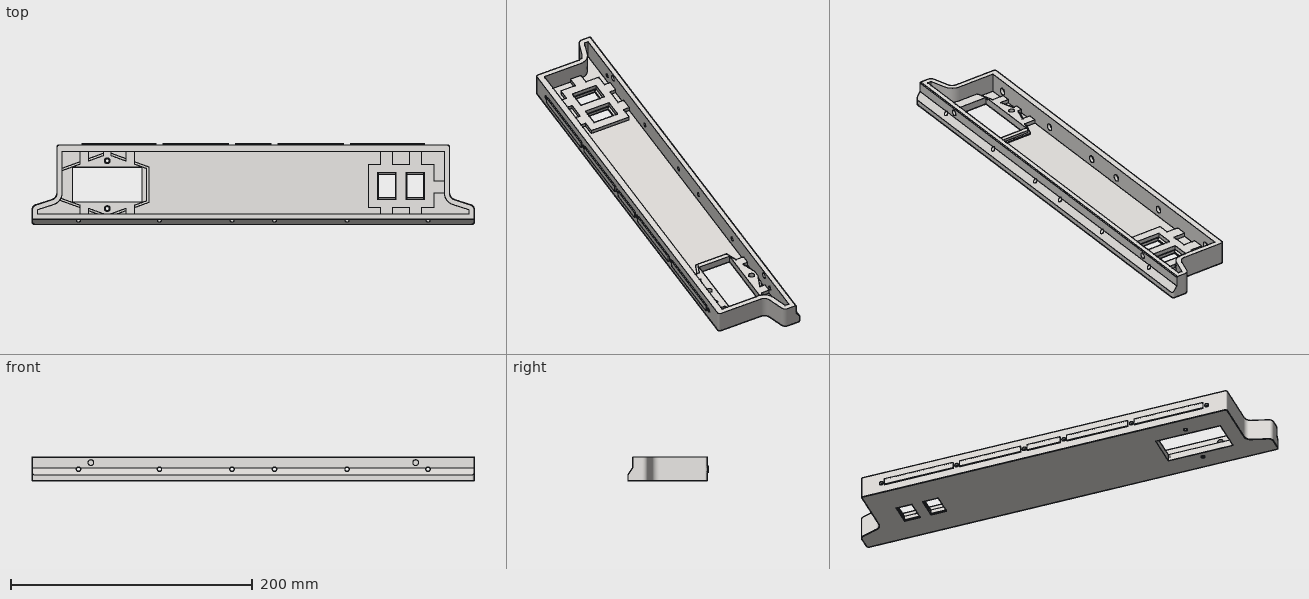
import cadquery as cq
import math


LENGTH = 366.2
HEIGHT = 20.0
DEPTH = 66.0

BASE_THICKNESS = 0.5
BASE_INSET = 0.5
FLOOR_TOP = 3.3

BODY_LENGTH = 325.2
FLARE_INNER_Y = 22.0
FLARE_OUTER_Y = 15.5
FLARE_INNER_RADIUS = 6.0
FLARE_OUTER_RADIUS = 4.5
BACK_CORNER_RADIUS = 2.0
FRONT_CORNER_RADIUS = 2.2

SIDE_WALL = 4.5
FRONT_WALL = 4.8
BACK_WALL = 5.5

SET_BACK = 4.0
BEVEL_BOTTOM = 5.0
BEVEL_ANGLE = 56.0
TOP_CHAMFER = 0.7

ROW_Z = 10.0
ROW_X = (17.5, 77.5, 144.5)
ROW_HOLE_DIAMETER = 3.4
BACK_COUNTERBORE_DIAMETER = 6.0
BACK_COUNTERBORE_DEPTH = 3.0

UPPER_HOLE_X = 134.5
UPPER_HOLE_Z = 15.5
UPPER_HOLE_DIAMETER = 4.8

PAD_GAP = 6.0
PAD_THICKNESS = 1.0
PAD_HEIGHT = 5.5

SOCKET_X = -121.0
SOCKET_Y = 33.0
SOCKET_LENGTH = 57.5
SOCKET_WIDTH = 28.5
SURROUND_HEIGHT = 3.3
SURROUND_STEP_HEIGHT = 1.0
SURROUND_STEP_WIDTH = 2.0
SURROUND_HALF_LENGTH = 34.5
SURROUND_END_HALF_WIDTH = 14.5
SURROUND_SLOPE = 20.0
SURROUND_LEG_WIDTH = 7.5
SURROUND_LEG_X = 19.0
SURROUND_TAB_WIDTH = 6.5
SCREW_Y = 19.8
SCREW_DIAMETER = 4.8
SCREW_TIP_DIAMETER = 3.3
SCREW_TIP_DEPTH = 1.0

FRAME_HEIGHT = 3.3
FRAME_X = 122.3
FRAME_Y = 32.0
FRAME_LENGTH = 54.2
FRAME_WIDTH = 35.5
FRAME_LEG_WIDTH = 10.0
FRAME_LEG_X = 12.0
SIDE_LEG_Y = 31.0
WINDOW_X = 11.7
WINDOW_LENGTH = 15.5
WINDOW_WIDTH = 22.0
WINDOW_SIDE_STEP = 0.7
WINDOW_CHAMFER = 1.5
WINDOW_THROAT_TOP = 1.5

HALF_LENGTH = LENGTH / 2
HALF_BODY = BODY_LENGTH / 2
BEVEL_TOP = BEVEL_BOTTOM + SET_BACK * math.tan(math.radians(BEVEL_ANGLE))
CAVITY_FRONT_Y = SET_BACK + FRONT_WALL
CAVITY_BACK_Y = DEPTH - BACK_WALL
MID_CAVITY_Y = (CAVITY_FRONT_Y + CAVITY_BACK_Y) / 2
SIDES = (-1, 1)
CORNER_REACH = 0.5


def block(x_range, y_range, z_range):
    """Box between two X, two Y and two Z values."""
    (x0, x1), (y0, y1), (z0, z1) = x_range, y_range, z_range
    return cq.Workplane("XY").box(x1 - x0, y1 - y0, z1 - z0, centered=False).translate((x0, y0, z0))


def around(centre, size):
    """Start and end of a span of the given size about its centre."""
    return (centre - size / 2, centre + size / 2)


def hole_along_y(x, z, diameter, y_start, y_end):
    plane = cq.Plane(origin=(x, y_start, z), xDir=(1, 0, 0), normal=(0, 1, 0))
    return cq.Workplane(plane).circle(diameter / 2).extrude(y_end - y_start)


def outline_solid(z_bottom, z_top):
    """The rounded plan outline extruded between two heights."""
    right_side = [
        (HALF_LENGTH, 0),
        (HALF_LENGTH, FLARE_OUTER_Y),
        (HALF_BODY, FLARE_INNER_Y),
        (HALF_BODY, DEPTH),
    ]
    left_side = [(-x, y) for x, y in reversed(right_side)]
    solid = cq.Workplane("XY", origin=(0, 0, z_bottom)).polyline(right_side + left_side).close()
    solid = solid.extrude(z_top - z_bottom)
    solid = solid.edges("|Z").edges(">Y").fillet(BACK_CORNER_RADIUS)
    solid = solid.edges("|Z").edges("<Y").fillet(FRONT_CORNER_RADIUS)
    for y, radius in ((FLARE_OUTER_Y, FLARE_OUTER_RADIUS), (FLARE_INNER_Y, FLARE_INNER_RADIUS)):
        band = cq.selectors.BoxSelector(
            (-LENGTH, y - CORNER_REACH, -HEIGHT),
            (LENGTH, y + CORNER_REACH, 2 * HEIGHT),
        )
        solid = solid.edges("|Z").edges(band).fillet(radius)
    return solid


def inset_solid(inset, z_bottom, z_top):
    """The plan outline moved inwards and extruded between two heights."""
    outline = outline_solid(z_bottom, z_top).faces("<Z").wires().val()
    inner = outline.offset2D(-inset, "intersection")[0]
    return cq.Workplane(cq.Solid.extrudeLinear(inner, [], cq.Vector(0, 0, z_top - z_bottom)))


def make_cavity():
    """Space inside the walls, from the floor to the open top."""
    limits = block((-LENGTH, LENGTH), (CAVITY_FRONT_Y, CAVITY_BACK_Y), (FLOOR_TOP, HEIGHT))
    return inset_solid(SIDE_WALL, FLOOR_TOP, HEIGHT).intersect(limits)


def make_front_cut():
    """Material removed from the front: set-back wall, bevel and top chamfer."""
    profile = [
        (0, BEVEL_BOTTOM),
        (SET_BACK, BEVEL_TOP),
        (SET_BACK, HEIGHT - TOP_CHAMFER),
        (SET_BACK + TOP_CHAMFER, HEIGHT),
        (0, HEIGHT),
    ]
    return cq.Workplane("YZ").polyline(profile).close().extrude(LENGTH, both=True)


def make_back_pads():
    """One strip between the outermost holes, interrupted at every hole."""
    strip_length = 2 * ROW_X[-1]
    y_range = (CAVITY_BACK_Y, DEPTH + PAD_THICKNESS)
    pads = block(around(0, strip_length), y_range, around(ROW_Z, PAD_HEIGHT))
    for side in SIDES:
        for x in ROW_X:
            pads = pads.cut(block(around(side * x, PAD_GAP), y_range, (0, HEIGHT)))
    return pads


def make_wall_holes():
    """Row holes through both walls, counterbored inside the back wall, and the upper pair."""
    counterbore_end = CAVITY_BACK_Y + BACK_COUNTERBORE_DEPTH
    holes = cq.Workplane("XY")
    for side in SIDES:
        for x in ROW_X:
            through = hole_along_y(side * x, ROW_Z, ROW_HOLE_DIAMETER, 0, DEPTH)
            counterbore = hole_along_y(
                side * x, ROW_Z, BACK_COUNTERBORE_DIAMETER, MID_CAVITY_Y, counterbore_end
            )
            holes = holes.union(through).union(counterbore)
        upper = hole_along_y(side * UPPER_HOLE_X, UPPER_HOLE_Z, UPPER_HOLE_DIAMETER, 0, MID_CAVITY_Y)
        holes = holes.union(upper)
    return holes


def make_socket_surround(cavity):
    """Two-step six-sided pad with straight legs and centre tabs, trimmed to the cavity."""
    slope = math.tan(math.radians(SURROUND_SLOPE))
    apex = SURROUND_END_HALF_WIDTH + SURROUND_HALF_LENGTH * slope
    wall_reach = SOCKET_X + HALF_BODY
    wall_half_width = apex - wall_reach * slope
    outline = [
        (0, -apex),
        (SURROUND_HALF_LENGTH, -SURROUND_END_HALF_WIDTH),
        (SURROUND_HALF_LENGTH, SURROUND_END_HALF_WIDTH),
        (0, apex),
        (-wall_reach, wall_half_width),
        (-wall_reach, -wall_half_width),
    ]
    plane = cq.Workplane("XY", origin=(SOCKET_X, SOCKET_Y, FLOOR_TOP))
    lower_step = plane.polyline(outline).close().extrude(SURROUND_STEP_HEIGHT)
    upper_step = plane.polyline(outline).close().offset2D(-SURROUND_STEP_WIDTH, "intersection")
    surround = lower_step.union(upper_step.extrude(SURROUND_HEIGHT))

    heights = (FLOOR_TOP, FLOOR_TOP + SURROUND_HEIGHT)
    opening_front, opening_back = around(SOCKET_Y, SOCKET_WIDTH)
    for y_range in ((CAVITY_FRONT_Y, opening_front), (opening_back, CAVITY_BACK_Y)):
        for side in SIDES:
            leg_x = SOCKET_X + side * SURROUND_LEG_X
            surround = surround.union(block(around(leg_x, SURROUND_LEG_WIDTH), y_range, heights))
        surround = surround.union(block(around(SOCKET_X, SURROUND_TAB_WIDTH), y_range, heights))
    return surround.intersect(cavity)


def make_switch_frame():
    """Rectangular frame tied to the front, back and end walls by legs."""
    heights = (FLOOR_TOP, FLOOR_TOP + FRAME_HEIGHT)
    frame = block(around(FRAME_X, FRAME_LENGTH), around(FRAME_Y, FRAME_WIDTH), heights)
    for side in SIDES:
        leg_x = around(FRAME_X + side * FRAME_LEG_X, FRAME_LEG_WIDTH)
        frame = frame.union(block(leg_x, (CAVITY_FRONT_Y, CAVITY_BACK_Y), heights))
    side_leg = block((FRAME_X, HALF_BODY - SIDE_WALL), around(SIDE_LEG_Y, FRAME_LEG_WIDTH), heights)
    return frame.union(side_leg)


def make_windows():
    """Stepped switch windows whose front and back edges slope in to a narrower throat."""
    throat_half = WINDOW_WIDTH / 2 - WINDOW_CHAMFER
    slope_top = WINDOW_THROAT_TOP + WINDOW_CHAMFER
    profile = [
        (-throat_half, 0),
        (throat_half, 0),
        (throat_half, WINDOW_THROAT_TOP),
        (WINDOW_WIDTH / 2, slope_top),
        (WINDOW_WIDTH / 2, HEIGHT),
        (-WINDOW_WIDTH / 2, HEIGHT),
        (-WINDOW_WIDTH / 2, slope_top),
        (-throat_half, WINDOW_THROAT_TOP),
    ]
    throat_length = WINDOW_LENGTH - 2 * WINDOW_SIDE_STEP
    windows = cq.Workplane("XY")
    for side in SIDES:
        x = FRAME_X + side * WINDOW_X
        plane = cq.Workplane("YZ", origin=(x, FRAME_Y, 0))
        throat = plane.polyline(profile).close().extrude(throat_length / 2, both=True)
        mouth = block(around(x, WINDOW_LENGTH), around(FRAME_Y, WINDOW_WIDTH), (slope_top, HEIGHT))
        windows = windows.union(throat).union(mouth)
    return windows


def make_socket_openings():
    """Socket opening with a stepped screw hole in front of and behind it."""
    openings = block(around(SOCKET_X, SOCKET_LENGTH), around(SOCKET_Y, SOCKET_WIDTH), (0, HEIGHT))
    for side in SIDES:
        plane = cq.Workplane("XY", origin=(SOCKET_X, SOCKET_Y + side * SCREW_Y, 0))
        tip = plane.circle(SCREW_TIP_DIAMETER / 2).extrude(HEIGHT)
        upper = plane.workplane(offset=SCREW_TIP_DEPTH).circle(SCREW_DIAMETER / 2).extrude(HEIGHT)
        openings = openings.union(tip).union(upper)
    return openings


def make_housing():
    cavity = make_cavity()
    housing = outline_solid(BASE_THICKNESS, HEIGHT).cut(cavity).cut(make_front_cut())
    housing = housing.union(make_back_pads()).cut(make_wall_holes())
    housing = housing.union(make_socket_surround(cavity)).union(make_switch_frame())
    return housing.cut(make_windows()).cut(make_socket_openings())


def make_base_plate():
    plate = inset_solid(BASE_INSET, 0, BASE_THICKNESS)
    return plate.cut(make_windows()).cut(make_socket_openings())


housing = make_housing()
base_plate = make_base_plate()
result = cq.Compound.makeCompound([housing.val(), base_plate.val()])